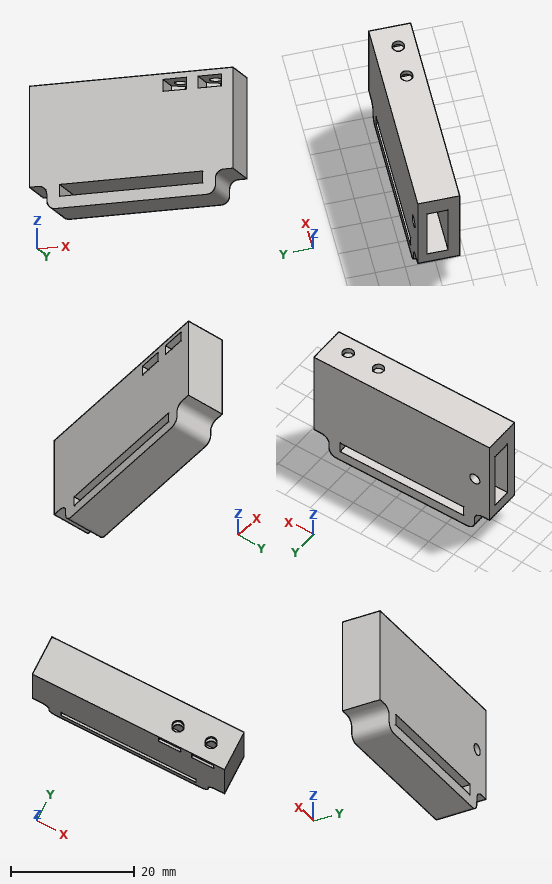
import cadquery as cq
import math

length = 35.0
thickness = 7.0
height = 21.0

lug_height = 4.0
lug_inset = 3.0
lug_radius = 1.47
strap_slot_length = 24.57
strap_slot_height = lug_height / 2

back_wall = 1.55
front_wall = 1.95
end_wall = back_wall
pocket_height = 11.38
pocket_top_gap = 3.4
pocket_top = height - pocket_top_gap
pocket_depth = length - end_wall

back_hole_diameter = 2.0
back_hole_x = 2.95

screw_centers_x = (25.0, 31.0)
screw_y = 3.0
screw_hole_diameter = 2.0
nut_slot_width = 4.02
nut_slot_height = 2.0
nut_slot_top_gap = 0.98


def make_body():
    lug_length = length - 2 * lug_inset
    block = cq.Workplane("XY").box(length, thickness, height - lug_height, centered=False)
    lug = cq.Workplane("XY").box(lug_length, thickness, lug_height, centered=False)
    body = block.translate((0, 0, lug_height)).union(lug.translate((lug_inset, 0, 0)))
    margin = lug_radius / 4
    lug_corners = cq.selectors.BoxSelector(
        (lug_inset - margin, -margin, -margin),
        (length - lug_inset + margin, thickness + margin, lug_height + margin),
    )
    return body.edges("|Y").edges(lug_corners).fillet(lug_radius)


def strap_slot():
    slot = cq.Workplane("XY").box(
        strap_slot_length, thickness, strap_slot_height, centered=(True, False, False)
    )
    return slot.translate((length / 2, 0, lug_height - strap_slot_height))


def end_pocket():
    pocket_width = thickness - front_wall - back_wall
    pocket = cq.Workplane("XY").box(pocket_depth, pocket_width, pocket_height, centered=False)
    return pocket.translate((0, front_wall, pocket_top - pocket_height))


def back_hole():
    hole_z = pocket_top - pocket_height / 2
    return (
        cq.Workplane("XZ", origin=(back_hole_x, thickness, hole_z))
        .circle(back_hole_diameter / 2)
        .extrude(back_wall)
    )


def nut_slot(center_x):
    half_width = nut_slot_width / 2
    hexagon_side = nut_slot_width / math.sqrt(3)
    side_wall_end = screw_y + hexagon_side / 2
    outline = [
        (center_x - half_width, 0),
        (center_x + half_width, 0),
        (center_x + half_width, side_wall_end),
        (center_x, screw_y + hexagon_side),
        (center_x - half_width, side_wall_end),
    ]
    slot_floor = height - nut_slot_top_gap - nut_slot_height
    return (
        cq.Workplane("XY", origin=(0, 0, slot_floor))
        .polyline(outline)
        .close()
        .extrude(nut_slot_height)
    )


def screw_hole(center_x):
    return (
        cq.Workplane("XY", origin=(center_x, screw_y, pocket_top))
        .circle(screw_hole_diameter / 2)
        .extrude(pocket_top_gap)
    )


result = make_body().cut(strap_slot()).cut(end_pocket()).cut(back_hole())
for screw_x in screw_centers_x:
    result = result.cut(nut_slot(screw_x)).cut(screw_hole(screw_x))